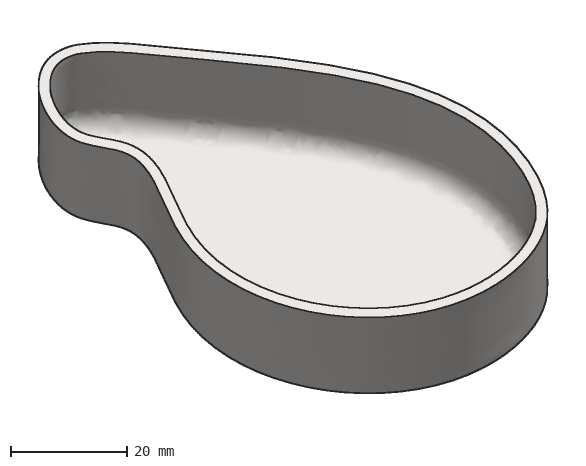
import cadquery as cq
import math

base_thickness = 1.5
wall_height = 20.0
wall_thickness = 2.0
floor_fillet = 4.0
inner_point_count = 80

outline_points = [
    (-39.07, -24.08),
    (-33.03, -11.98),
    (14.35, 35.01),
    (28.57, 33.34),
    (39.16, 15.23),
    (5.56, -25.74),
    (-14.63, -27.00),
    (-20.38, -33.28),
    (-38.42, -30.13),
]
seam_angle = math.radians(75.71)


def closed_curve(points, direction):
    """Smooth closed curve that leaves and re-enters its first point along one unit direction."""
    loop = points + points[:1]
    return cq.Edge.makeSpline(loop, tangents=[direction, direction], scale=False)


def outer_curve():
    points = [cq.Vector(x, y) for x, y in outline_points]
    return closed_curve(points, cq.Vector(math.cos(seam_angle), math.sin(seam_angle)))


def inner_curve(outer):
    """Outer curve moved inward by the wall thickness, kept as one smooth edge."""
    points = []
    for i in range(inner_point_count):
        fraction = i / inner_point_count
        tangent = outer.tangentAt(fraction)
        inward = cq.Vector(tangent.y, -tangent.x)
        points.append(outer.positionAt(fraction) + inward * wall_thickness)
    return closed_curve(points, outer.tangentAt(0))


def prism(curve, bottom, height):
    """Upright solid outlined by the closed curve, standing at the height `bottom`."""
    outline = cq.Wire.assembleEdges([curve])
    solid = cq.Solid.extrudeLinear(outline, [], cq.Vector(0, 0, height))
    return cq.Workplane(solid.translate(cq.Vector(0, 0, bottom)))


def cavity(outer):
    """Inside of the tray, with the edge between floor and wall rounded."""
    block = prism(inner_curve(outer), base_thickness, wall_height)
    return block.faces("<Z").edges().fillet(floor_fillet)


outer = outer_curve()
base = prism(outer, 0, base_thickness)
wall = prism(outer, base_thickness, wall_height).cut(cavity(outer))
result = base.union(wall)